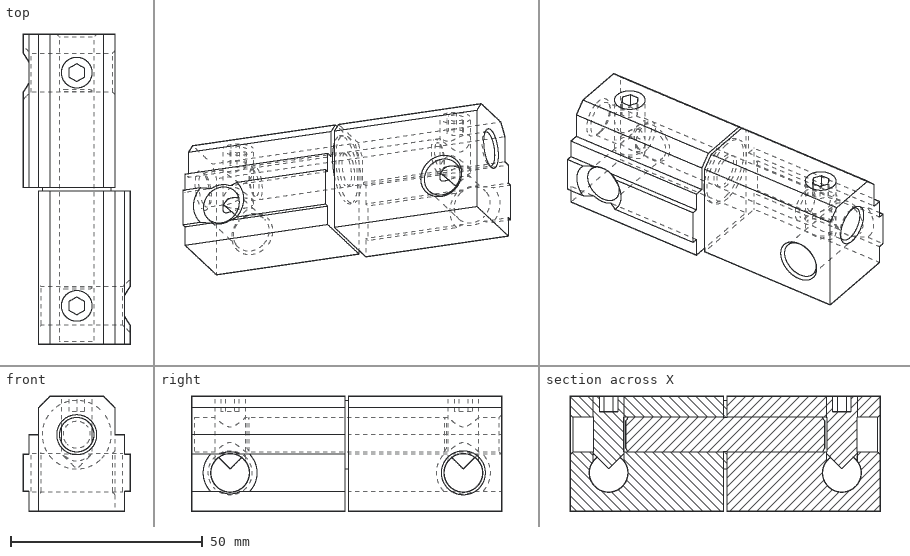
import cadquery as cq

overall_length = 80.9
overall_width = 28.0
washer_thickness = 0.9
housing_length = (overall_length - washer_thickness) / 2

housing_height = 30.0
block_width = 20.0
block_chamfer = 3.0
rib_projection = 1.5
rib_height = 9.7
shoulder_height = 20.0

bore_diameter = 9.0
bore_height = shoulder_height
mouth_chamfer = 0.7

cross_hole_diameter = 10.0
cross_hole_height = 10.0
rib_countersink = 2.0
station_offset = 10.0

screw_diameter = 8.0
screw_tip_height = 11.0
socket_across_flats = 4.05
socket_depth = 4.05
hexagon_corner_ratio = 2 / 3 ** 0.5

washer_diameter = 18.0
pin_chamfer_depth = 0.6
pin_chamfer_width = 1.0
pin_screw_gap = 0.4

block_reach = block_width / 2
rib_reach = overall_width / 2
shoulder_reach = rib_reach - rib_projection
rib_bottom = cross_hole_height - rib_height / 2
rib_top = cross_hole_height + rib_height / 2
end_y = overall_length / 2
station_y = end_y - station_offset
cross_hole_radius = cross_hole_diameter / 2
bore_radius = bore_diameter / 2
screw_radius = screw_diameter / 2
pin_half_length = station_y - screw_radius - pin_screw_gap


def hole_chamfer(radius, depth, mouth, inward):
    """45-degree cone widening a hole at its mouth, narrowing along the inward direction."""
    return cq.Solid.makeCone(radius + depth, radius, depth, cq.Vector(*mouth), cq.Vector(*inward))


def make_housing():
    """Housing at the -Y end, with its shoulder and rib on the +X side."""
    outline = [
        (-block_reach, 0),
        (shoulder_reach, 0),
        (shoulder_reach, rib_bottom),
        (rib_reach, rib_bottom),
        (rib_reach, rib_top),
        (shoulder_reach, rib_top),
        (shoulder_reach, shoulder_height),
        (block_reach, shoulder_height),
        (block_reach, housing_height - block_chamfer),
        (block_reach - block_chamfer, housing_height),
        (block_chamfer - block_reach, housing_height),
        (-block_reach, housing_height - block_chamfer),
    ]
    body = (
        cq.Workplane("XZ", origin=(0, -end_y, 0))
        .polyline(outline)
        .close()
        .extrude(-housing_length)
    )

    bore_mouth = (0, -end_y, bore_height)
    bore = cq.Solid.makeCylinder(bore_radius, housing_length, cq.Vector(*bore_mouth), cq.Vector(0, 1, 0))
    body = body.cut(bore).cut(hole_chamfer(bore_radius, mouth_chamfer, bore_mouth, (0, 1, 0)))

    plain_mouth = (-block_reach, -station_y, cross_hole_height)
    rib_mouth = (rib_reach, -station_y, cross_hole_height)
    cross_hole = cq.Solid.makeCylinder(
        cross_hole_radius, block_reach + rib_reach, cq.Vector(*plain_mouth), cq.Vector(1, 0, 0)
    )
    body = (
        body.cut(cross_hole)
        .cut(hole_chamfer(cross_hole_radius, mouth_chamfer, plain_mouth, (1, 0, 0)))
        .cut(hole_chamfer(cross_hole_radius, rib_countersink, rib_mouth, (-1, 0, 0)))
    )

    screw_hole = cq.Solid.makeCylinder(
        screw_radius, housing_height - cross_hole_height, cq.Vector(0, -station_y, cross_hole_height)
    )
    return body.cut(screw_hole)


def make_screw():
    """Set screw at the -Y end: hexagon socket on top and a 45-degree cone point below."""
    cone_top = screw_tip_height + screw_radius
    profile = [
        (0, screw_tip_height),
        (screw_radius, cone_top),
        (screw_radius, housing_height),
        (0, housing_height),
    ]
    shank = cq.Workplane("XZ").polyline(profile).close().revolve(360, (0, 0), (0, 1))
    socket = (
        cq.Workplane("XY", origin=(0, 0, housing_height))
        .transformed(rotate=(0, 0, 90))
        .polygon(6, socket_across_flats * hexagon_corner_ratio)
        .extrude(-socket_depth)
    )
    return shank.cut(socket).translate((0, -station_y, 0))


def make_pin():
    """Pin joining the two bores, with shallow end chamfers, stopping short of the screws."""
    chamfer_y = pin_half_length - pin_chamfer_depth
    end_radius = bore_radius - pin_chamfer_width
    profile = [
        (0, -pin_half_length),
        (end_radius, -pin_half_length),
        (bore_radius, -chamfer_y),
        (bore_radius, chamfer_y),
        (end_radius, pin_half_length),
        (0, pin_half_length),
    ]
    pin_body = cq.Workplane("XY").polyline(profile).close().revolve(360, (0, 0), (0, 1))
    return pin_body.translate((0, 0, bore_height))


def make_washer():
    """Flat washer around the pin, filling the gap between the housings."""
    return (
        cq.Workplane("XZ", origin=(0, 0, bore_height))
        .circle(washer_diameter / 2)
        .circle(bore_radius)
        .extrude(washer_thickness / 2, both=True)
    )


housings = []
screws = []
for turn in (0, 180):
    housings.append(make_housing().rotate((0, 0, 0), (0, 0, 1), turn).val())
    screws.append(make_screw().rotate((0, 0, 0), (0, 0, 1), turn).val())

pin = make_pin()
washer = make_washer()

result = cq.Compound.makeCompound([*housings, *screws, pin.val(), washer.val()])